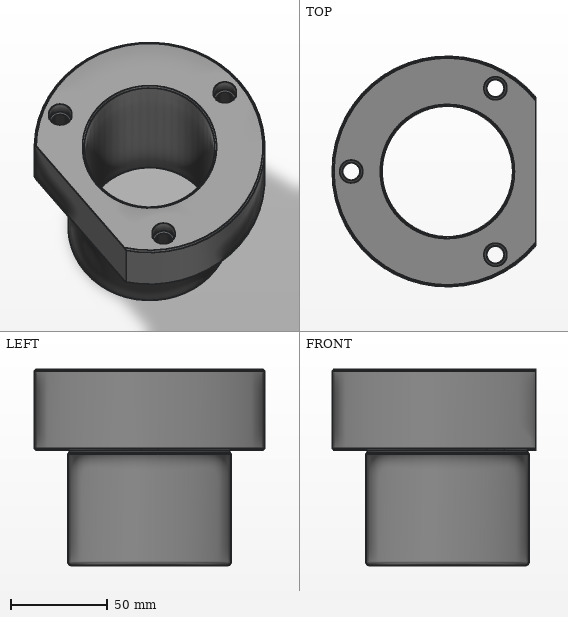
import cadquery as cq

flange_diameter = 119.9
flat_distance = 46.0
total_height = 102.0
flange_height = 42.0
flange_chamfer = 1.0

spigot_diameter = 85.0
spigot_end_radius = 2.0
spigot_height = total_height - flange_height

groove_diameter = 83.5
groove_height = 2.0
groove_slope_height = 0.7

bore_diameter = 68.0
bore_chamfer = 1.0

screw_circle_radius = 50.0
screw_hole_diameter = 9.0
counterbore_diameter = 12.0
counterbore_depth = 10.0
screw_count = 3
first_screw_angle = 60


def make_flange():
    flange = (
        cq.Workplane("XY")
        .workplane(offset=spigot_height)
        .circle(flange_diameter / 2)
        .extrude(flange_height)
        .edges()
        .chamfer(flange_chamfer)
    )
    beyond_flat = (
        cq.Workplane("XY")
        .box(flange_diameter, 2 * flange_diameter, 2 * total_height)
        .translate((flat_distance + flange_diameter / 2, 0, 0))
    )
    return flange.cut(beyond_flat)


def make_spigot():
    spigot_radius = spigot_diameter / 2
    groove_radius = groove_diameter / 2
    groove_bottom = spigot_height - groove_height
    return (
        cq.Workplane("XZ")
        .moveTo(0, 0)
        .lineTo(spigot_radius - spigot_end_radius, 0)
        .tangentArcPoint((spigot_radius, spigot_end_radius), relative=False)
        .lineTo(spigot_radius, groove_bottom)
        .lineTo(groove_radius, groove_bottom + groove_slope_height)
        .lineTo(groove_radius, spigot_height)
        .lineTo(0, spigot_height)
        .close()
        .revolve(360, (0, 0, 0), (0, 1, 0))
    )


def make_bore():
    bore_radius = bore_diameter / 2
    mouth_radius = bore_radius + bore_chamfer
    return (
        cq.Workplane("XZ")
        .moveTo(0, 0)
        .lineTo(bore_radius, 0)
        .lineTo(bore_radius, total_height - bore_chamfer)
        .lineTo(mouth_radius, total_height)
        .lineTo(0, total_height)
        .close()
        .revolve(360, (0, 0, 0), (0, 1, 0))
    )


def cut_screw_holes(body):
    return (
        body.faces(">Z")
        .workplane(origin=(0, 0, total_height))
        .polarArray(screw_circle_radius, first_screw_angle, 360, screw_count)
        .cboreHole(screw_hole_diameter, counterbore_diameter, counterbore_depth)
    )


result = cut_screw_holes(make_flange().union(make_spigot()).cut(make_bore()))